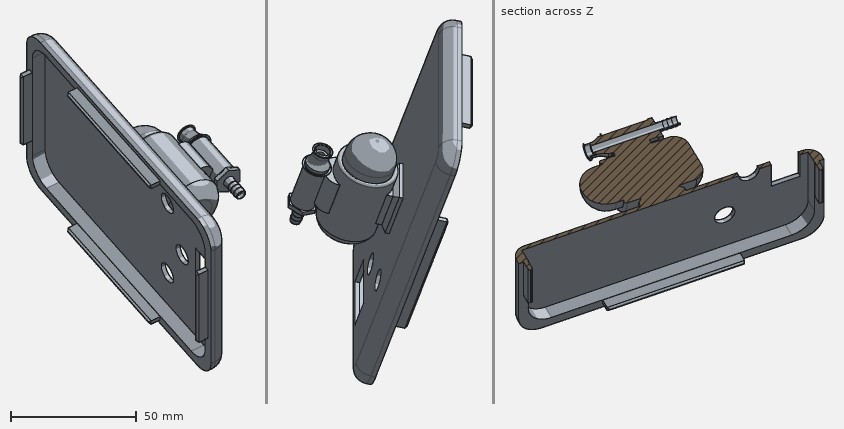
import cadquery as cq
TRAY_LENGTH = 133.4
TRAY_HEIGHT = 86.0
TRAY_CORNER_RADIUS = 10.0
RIM_WIDTH = 4.3
RECESS_DEPTH = 6.0
FLOOR_THICKNESS = 2.0
BACK_EDGE_RADIUS = 6.0
TRAY_DEPTH = RECESS_DEPTH + FLOOR_THICKNESS

RAIL_INSET = 2.1
RAIL_THICKNESS = 2.0
RAIL_REACH = 5.1
RAIL_CHAMFER = 0.8
LONG_RAIL = 60.0
SHORT_RAIL = 40.0

HOLE_DIAMETER = 8.8
MIDDLE_HOLE_X = 36.7
OUTER_HOLE_X = 26.0
OUTER_HOLE_Z = 20.4
WINDOW_X = 52.7
WINDOW_WIDTH = 12.5
WINDOW_HEIGHT = 25.3

PAD_SIZE = 20.0
PAD_THICKNESS = 3.6
POST_SIZE = 16.0
PAD_CHAMFER = (PAD_SIZE - POST_SIZE) / 2
POST_END_RADIUS = 6.0
POST_END_BELOW_NOZZLE = 3.5

POD_Y = TRAY_DEPTH + 15.9
POD_RADIUS = 12.5
POD_LEFT = -15.2
POD_RIGHT = 21.3
POD_CAP_LENGTH = 5.2
POD_CAP_FLAT_RADIUS = 6.4
POD_CAP_BULGE = 1.3
NOSE_RADIUS = 10.5
BEAD_RADIUS = (POD_RADIUS - NOSE_RADIUS) / 2
NOSE_TIP = -28.0
NOSE_ROUND = 10.0

FLANGE_RADIUS = 6.0
NOZZLE_Y = POD_Y + 19.3
NOZZLE_LEFT = -17.1
LIP_RADIUS = 4.1
LIP_LENGTH = 0.4
NECK_RADIUS = 3.5
NECK_END = -14.5
CONE_END = -10.0
FLANGE_LEFT = -8.7
FLANGE_LENGTH = 0.4
BARREL_RADIUS = 5.1
COLLAR_LEFT = 11.7
COLLAR_ACROSS_FLATS = 11.0
COLLAR_LENGTH = 2.0
BARB_RADIUS = 2.4
BARB_TIP_RADIUS = 2.1
BARB_COUNT = 3
BARB_PITCH = 2.0
SPIGOT_END = 22.7
BORE_RADIUS = 1.7
SOCKET_RADIUS = 3.0


def slab(length, height, depth, start_y):
    """Rectangular block centred on the Y axis, growing toward +Y from start_y."""
    return cq.Workplane("XZ", origin=(0, start_y, 0)).rect(length, height).extrude(-depth)


def make_tray():
    outer = slab(TRAY_LENGTH, TRAY_HEIGHT, TRAY_DEPTH, 0).edges("|Y").fillet(TRAY_CORNER_RADIUS)
    outer = outer.faces(">Y").edges().fillet(BACK_EDGE_RADIUS)
    recess = slab(TRAY_LENGTH - 2 * RIM_WIDTH, TRAY_HEIGHT - 2 * RIM_WIDTH, RECESS_DEPTH, 0)
    return outer.cut(recess.edges("|Y").fillet(TRAY_CORNER_RADIUS))


def make_rails():
    offset = RAIL_INSET + RAIL_THICKNESS / 2
    long_rail = slab(LONG_RAIL, RAIL_THICKNESS, RAIL_REACH, -RAIL_REACH)
    short_rail = slab(RAIL_THICKNESS, SHORT_RAIL, RAIL_REACH, -RAIL_REACH)
    long_rail = long_rail.faces("<Y").edges().chamfer(RAIL_CHAMFER)
    short_rail = short_rail.faces("<Y").edges().chamfer(RAIL_CHAMFER)
    rails = cq.Workplane()
    for side in (-1, 1):
        rails = rails.add(long_rail.translate((0, 0, side * (TRAY_HEIGHT / 2 - offset))))
        rails = rails.add(short_rail.translate((side * (TRAY_LENGTH / 2 - offset), 0, 0)))
    return rails.combine()


def make_openings():
    plane = cq.Workplane("XZ")
    centers = [(MIDDLE_HOLE_X, 0), (OUTER_HOLE_X, OUTER_HOLE_Z), (OUTER_HOLE_X, -OUTER_HOLE_Z)]
    holes = plane.pushPoints(centers).circle(HOLE_DIAMETER / 2).extrude(-TRAY_DEPTH)
    window = plane.center(WINDOW_X, 0).rect(WINDOW_WIDTH, WINDOW_HEIGHT).extrude(-TRAY_DEPTH)
    return holes.union(window)


def make_bracket():
    pad = slab(PAD_SIZE, PAD_SIZE, PAD_THICKNESS, TRAY_DEPTH)
    pad = pad.faces(">Y").edges().chamfer(PAD_CHAMFER)
    post_end = NOZZLE_Y - POST_END_BELOW_NOZZLE
    post = slab(POST_SIZE, POST_SIZE, post_end - TRAY_DEPTH, TRAY_DEPTH)
    post = post.faces(">Y").edges("|X").fillet(POST_END_RADIUS)
    return pad.union(post)


def turned(profile, axis_y):
    """Spin a closed profile of (x, radius) points about a line along X at Y = axis_y."""
    return profile.close().revolve(360, (0, 0, 0), (1, 0, 0)).translate((0, axis_y, 0))


def make_pod():
    bead_start = POD_LEFT + BEAD_RADIUS
    cap_start = POD_RIGHT - POD_CAP_LENGTH
    profile = (
        cq.Workplane("XY")
        .moveTo(NOSE_TIP, 0)
        .lineTo(NOSE_TIP, NOSE_RADIUS - NOSE_ROUND)
        .tangentArcPoint((NOSE_TIP + NOSE_ROUND, NOSE_RADIUS), relative=False)
        .lineTo(bead_start, NOSE_RADIUS)
        .threePointArc((POD_LEFT, NOSE_RADIUS + BEAD_RADIUS), (bead_start, POD_RADIUS))
        .lineTo(cap_start, POD_RADIUS)
        .sagittaArc((POD_RIGHT, POD_CAP_FLAT_RADIUS), POD_CAP_BULGE)
        .lineTo(POD_RIGHT, 0)
    )
    return turned(profile, POD_Y)


def make_nozzle():
    flange_right = FLANGE_LEFT + FLANGE_LENGTH
    collar_right = COLLAR_LEFT + COLLAR_LENGTH
    profile = (
        cq.Workplane("XY")
        .moveTo(NOZZLE_LEFT, 0)
        .lineTo(NOZZLE_LEFT, LIP_RADIUS)
        .lineTo(NOZZLE_LEFT + LIP_LENGTH, LIP_RADIUS)
        .lineTo(NOZZLE_LEFT + LIP_LENGTH, NECK_RADIUS)
        .lineTo(NECK_END, NECK_RADIUS)
        .tangentArcPoint((CONE_END, BARREL_RADIUS), relative=False)
        .lineTo(FLANGE_LEFT, BARREL_RADIUS)
        .lineTo(FLANGE_LEFT, FLANGE_RADIUS)
        .lineTo(flange_right, FLANGE_RADIUS)
        .lineTo(flange_right, BARREL_RADIUS)
        .lineTo(collar_right, BARREL_RADIUS)
        .lineTo(collar_right, BARB_RADIUS)
    )
    for index in range(BARB_COUNT):
        barb_start = SPIGOT_END - (BARB_COUNT - index) * BARB_PITCH
        profile = profile.lineTo(barb_start, BARB_TIP_RADIUS).lineTo(barb_start, BARB_RADIUS)
    profile = profile.lineTo(SPIGOT_END, BARB_TIP_RADIUS)
    return turned(profile.lineTo(SPIGOT_END, 0), NOZZLE_Y)


def make_collar():
    """Hexagonal collar around the nozzle, with two opposite corners pointing along Z."""
    start = cq.Workplane("YZ", origin=(COLLAR_LEFT, NOZZLE_Y, 0))
    return start.polygon(6, COLLAR_ACROSS_FLATS, circumscribed=True).extrude(COLLAR_LENGTH)


def make_bore():
    mouth = cq.Workplane("YZ", origin=(NOZZLE_LEFT, NOZZLE_Y, 0))
    bore = mouth.circle(BORE_RADIUS).extrude(SPIGOT_END - NOZZLE_LEFT)
    socket = mouth.circle(SOCKET_RADIUS).extrude(NECK_END - NOZZLE_LEFT)
    return bore.union(socket)


result = (
    make_tray()
    .union(make_rails())
    .cut(make_openings())
    .union(make_bracket())
    .union(make_pod())
    .union(make_nozzle())
    .union(make_collar())
    .cut(make_bore())
)